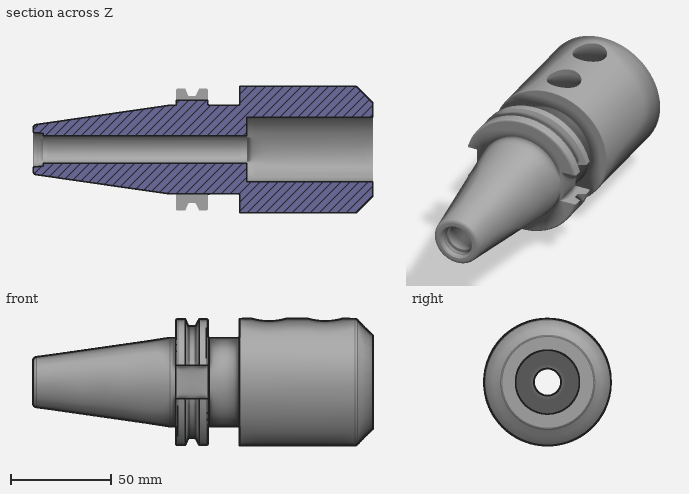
import cadquery as cq

total_length = 169.8
taper_end = 68.3
flange_start = 71.3
flange_end = 87.5
body_start = 103.1

small_end_diameter = 24.8
shank_diameter = 44.5
nose_fillet = 2.0
neck_fillet = 0.5

flange_diameter = 63.2
flange_fillet = 1.0
groove_floor_radius = 28.0
groove_fillet = 0.7
groove_start = flange_start + 4.8
groove_floor_start = flange_start + 6.3
groove_floor_end = flange_start + 9.9
groove_end = flange_start + 11.7
slot_width = 16.8
front_slot_floor = 22.0
back_slot_floor = 24.8

body_diameter = 63.5
body_edge_fillet = 0.5
front_bevel = 8.5
bevel_blend = 1.7
front_edge_fillet = 0.8

rear_mouth_diameter = 18.2
pilot_diameter = 16.8
pilot_depth = 3.0
relief_diameter = 16.3
relief_depth = 5.1
through_diameter = 13.5
tool_bore_diameter = 32.0
tool_bore_start = 107.0

screw_hole_diameter = 17.3
screw_hole_centers = (117.9, 145.9)


def cylinder(diameter, start, end):
    """Solid cylinder along X between two positions."""
    return cq.Workplane("YZ").workplane(offset=start).circle(diameter / 2).extrude(end - start)


def make_shank():
    """Taper followed by a short straight collar."""
    return (
        cq.Workplane("XY")
        .moveTo(0, 0)
        .lineTo(0, small_end_diameter / 2)
        .lineTo(taper_end, shank_diameter / 2)
        .lineTo(flange_start, shank_diameter / 2)
        .lineTo(flange_start, 0)
        .close()
        .revolve(360, (0, 0, 0), (1, 0, 0))
        .faces("<X")
        .edges()
        .fillet(nose_fillet)
    )


def make_body():
    """Holder body with a 45 degree bevel at its open end."""
    body = cylinder(body_diameter, body_start, total_length)
    body = body.faces(">X").edges().chamfer(front_bevel)
    bevel_start = cq.selectors.RadiusNthSelector(-1)
    body = body.edges("%CIRCLE").edges(bevel_start).edges(">X").fillet(bevel_blend)
    body = body.faces(">X").edges().fillet(front_edge_fillet)
    return body.faces("<X").edges().fillet(body_edge_fillet)


def make_flange():
    """Grooved flange with one drive slot on each Y side."""
    flange = cylinder(flange_diameter, flange_start, flange_end).edges("%CIRCLE").fillet(flange_fillet)
    rim = flange_diameter / 2
    groove = (
        cq.Workplane("XY")
        .moveTo(groove_start, rim)
        .lineTo(groove_floor_start, groove_floor_radius)
        .lineTo(groove_floor_end, groove_floor_radius)
        .lineTo(groove_end, rim)
        .close()
        .revolve(360, (0, 0, 0), (1, 0, 0))
    )
    inner_edge = cq.selectors.RadiusNthSelector(0)
    groove = groove.edges("%CIRCLE").edges(inner_edge).fillet(groove_fillet)
    flange = flange.cut(groove)
    for side, floor in ((-1, front_slot_floor), (1, back_slot_floor)):
        slot = (
            cq.Workplane("XY")
            .box(flange_end - flange_start, rim, slot_width)
            .translate(((flange_start + flange_end) / 2, side * (floor + rim / 2), 0))
        )
        flange = flange.cut(slot)
    return flange


def make_neck():
    """Neck between flange and body, with a small fillet at each end."""
    radius = shank_diameter / 2
    root = radius + neck_fillet
    arc_offset = neck_fillet * (1 - 0.5 ** 0.5)
    return (
        cq.Workplane("XY")
        .moveTo(flange_end, 0)
        .lineTo(flange_end, root)
        .threePointArc((flange_end + arc_offset, radius + arc_offset), (flange_end + neck_fillet, radius))
        .lineTo(body_start - neck_fillet, radius)
        .threePointArc((body_start - arc_offset, radius + arc_offset), (body_start, root))
        .lineTo(body_start, 0)
        .close()
        .revolve(360, (0, 0, 0), (1, 0, 0))
    )


def make_bores():
    """Stepped axial bores and the clamping screw holes."""
    mouth_depth = (rear_mouth_diameter - pilot_diameter) / 2
    bores = cylinder(through_diameter, 0, total_length)
    bores = bores.union(cylinder(relief_diameter, 0, relief_depth))
    bores = bores.union(cylinder(pilot_diameter, 0, pilot_depth))
    mouth = (
        cq.Workplane("YZ")
        .circle(rear_mouth_diameter / 2)
        .workplane(offset=mouth_depth)
        .circle(pilot_diameter / 2)
        .loft()
    )
    bores = bores.union(mouth)
    bores = bores.union(cylinder(tool_bore_diameter, tool_bore_start, total_length))
    screw_holes = (
        cq.Workplane("XY")
        .pushPoints([(center, 0) for center in screw_hole_centers])
        .circle(screw_hole_diameter / 2)
        .extrude(body_diameter / 2)
    )
    return bores.union(screw_holes)


result = make_shank().union(make_flange()).union(make_neck()).union(make_body()).cut(make_bores())